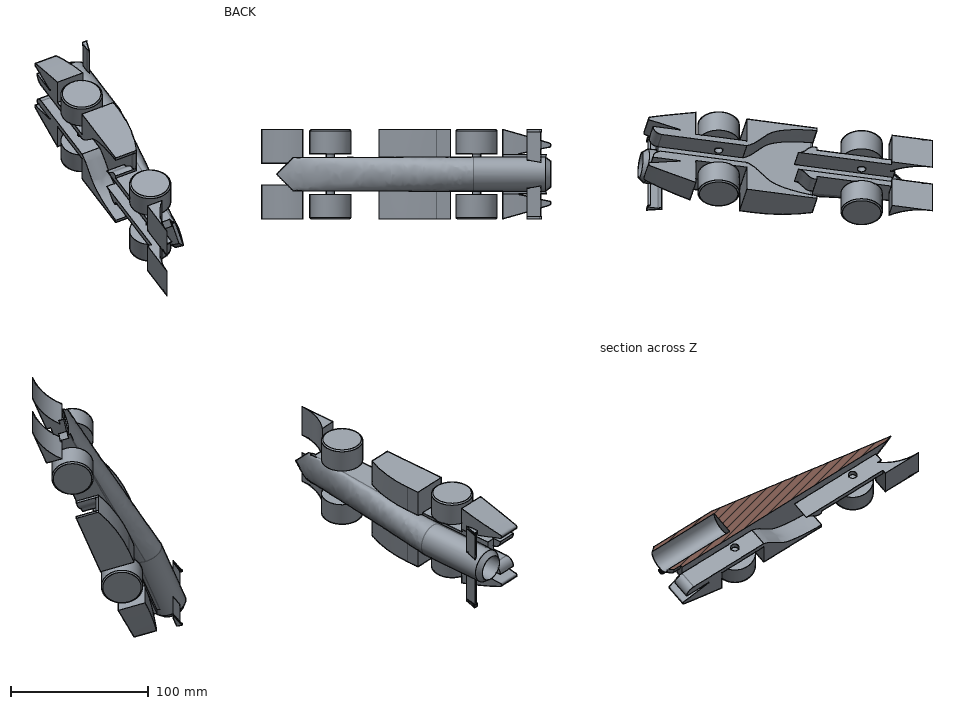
import cadquery as cq
import math

SIDES = (1, -1)

half_width = 32.5
car_length = 210.0

barrel_radius = 25.0 / 2
bore_radius = 19.0 / 2
barrel_top = 41.2
barrel_y = barrel_top - barrel_radius
barrel_length = 56.0
barrel_chamfer = 4.0

nose_tip_x = 199.0
nose_half_width = 12.2
nose_end_y = 14.7
nose_end_half_height = 1.78
nose_undercut = 3.5
nose_undercut_height = 1.7

channel_half_width = 7.8
channel_roof = 14.5
rail_half_width = 12.2
deck_top = 20.8
deck_start_x = 9.9
rail_end_x = 184.4
rail_end_bevel = 3.2
nose_deck_top = 17.0
nose_block_bottom = 7.8
nose_deck_x = 173.7

flank_top = 23.3


tail_half_width = 14.3
tail_round = 6.5
fin_end_x = 35.0
fin_tip = (0, 21.0)
fin_outer_slope = 0.29
fin_inner_slope = 0.2
fin_outer_bends = [(9.5, 25.2), (2.0, 22.9)]
fin_inner_bends = [(2.3, 19.3), (9.5, 17.8)]
slot_end_x = 23.3
slot_end_z = 14.7
fin_tip_height = 17.0
fin_mid = (12.5, 19.1)

pod_start_x = 72.9
pod_end_x = 125.0
pod_top = 25.8
pod_crown_x = 83.2
pod_front_height = 17.0
duct_wall_z = 30.2
duct_rail_z = 14.5
duct_split_x = 110.7
duct_lip = 1.9
duct_wall_bends = [(78.8, 11.3), (90.0, 22.0), (103.1, 27.3)]
splitter_bends = [(120.3, 14.0), (116.5, 10.7)]

wing_start_x = 180.0
wing_bottom = -3.2
wing_top = 8.8
wing_tip = 0.1
wing_mid = (192.2, 0.6)

plate_thickness = 1.9
rear_wing_bottom = 35.0
rear_wing_start = 6.7
rear_wing_end = 17.5
rear_wing_tail_y = 36.0
rear_wing_kink_x = 14.5
plate_peak = 39.3
plate_shoulder = (8.5, 38.5)
plate_round = 1.3
blade_inset = 0.6
blade_top = 37.8
blade_edge_mid = (7.5, 36.1)
blade_foot_x = 8.6

wheel_radius = 30.0 / 2
wheel_chamfer = 1.0
wheel_inner_z = 14.7
axle_radius = 6.0 / 2
wheel_bottom = -5.2
axle_y = wheel_bottom + wheel_radius
axle_xs = (54.0, 160.0)


def across(sketch, z_from, z_to):
    """Extrude an XY profile from z_from to z_to."""
    return sketch.extrude(z_to - z_from).translate((0, 0, z_from))


def upright(sketch, y_from, y_to):
    """Extrude a plan profile, drawn as (x, z), from y_from up to y_to."""
    return sketch.extrude(-(y_to - y_from)).translate((0, y_from, 0))


def plan():
    """Plan sketch plane with local axes X and Z; its normal is -Y."""
    return cq.Workplane("XZ")


def slab(x_from, x_to, y_from, y_to, z_half):
    """Box symmetric about Z = 0."""
    return cq.Workplane("XY").box(
        x_to - x_from, y_to - y_from, 2 * z_half, centered=(False, False, True)
    ).translate((x_from, y_from, 0))


def both_sides(shape):
    """The shape together with its mirror image across Z = 0."""
    return shape.union(shape.mirror("XY"))


def make_barrel():
    return (
        cq.Workplane("XY")
        .polyline([
            (0, barrel_y),
            (0, barrel_y + bore_radius),
            (barrel_chamfer, barrel_top),
            (barrel_length, barrel_top),
            (barrel_length, barrel_y),
        ])
        .close()
        .revolve(360, (0, barrel_y, 0), (1, barrel_y, 0))
    )


def make_bore():
    return cq.Workplane("YZ").center(barrel_y, 0).circle(bore_radius).extrude(barrel_length)


def v_plan(tip_x):
    """Plan polygon with a square V-shaped front ending at tip_x."""
    back_x = tip_x - half_width
    return [(0, half_width), (back_x, half_width), (tip_x, 0), (back_x, -half_width), (0, -half_width)]


def make_nose_envelope():
    """V-fronted prism whose front faces are undercut along the bottom."""
    undercut = (
        cq.Workplane("XZ", origin=(0, channel_roof, 0))
        .polyline(v_plan(nose_tip_x - nose_undercut))
        .close()
        .workplane(offset=-nose_undercut_height)
        .polyline(v_plan(nose_tip_x))
        .close()
        .loft(ruled=True)
    )
    front = plan().polyline(v_plan(nose_tip_x)).close()
    prism = upright(front, channel_roof + nose_undercut_height, barrel_top)
    return undercut.union(prism)


def make_nose():
    end_drop = nose_end_y - barrel_y
    cone = (
        cq.Workplane("YZ", origin=(barrel_length, barrel_y, 0))
        .ellipse(barrel_radius, barrel_radius, rotation_angle=-90)
        .workplane(offset=nose_tip_x - barrel_length)
        .center(end_drop, 0)
        .ellipse(nose_half_width, nose_end_half_height, rotation_angle=-90)
        .loft(ruled=True)
    )
    slope = (nose_end_y - barrel_y) / (nose_tip_x - barrel_length)
    widest_at_pod = barrel_y + slope * (pod_crown_x - barrel_length)
    shoulder = across(
        cq.Workplane("XY").polyline([
            (pod_start_x, channel_roof),
            (pod_start_x, pod_top),
            (pod_crown_x, widest_at_pod),
            (nose_deck_x, nose_deck_top),
            (rail_end_x, nose_deck_top),
            (rail_end_x, channel_roof),
        ]).close(),
        -rail_half_width,
        rail_half_width,
    )
    return cone.union(shoulder).intersect(make_nose_envelope())


def make_flank():
    """Strip tangent to the barrel at flank_top, running down to the deck."""
    drop = barrel_y - flank_top
    top_z = math.sqrt(barrel_radius**2 - drop**2)
    foot_z = top_z - (flank_top - deck_top) * drop / top_z
    return (
        cq.Workplane("YZ", origin=(deck_start_x, 0, 0))
        .polyline([(flank_top, top_z), (deck_top, foot_z), (deck_top, -foot_z), (flank_top, -top_z)])
        .close()
        .extrude(pod_start_x - deck_start_x)
    )


def make_chassis():
    """Rails and roof slab as one bar, before the channel is cut."""
    rear_bar = slab(deck_start_x, pod_start_x, 0, deck_top, rail_half_width)
    front_bar = slab(pod_start_x, wing_start_x, 0, channel_roof, rail_half_width)
    nose_block = plan().polyline([
        (pod_start_x, rail_half_width),
        (rail_end_x - rail_end_bevel, rail_half_width),
        (rail_end_x, channel_half_width),
        (rail_end_x, -channel_half_width),
        (rail_end_x - rail_end_bevel, -rail_half_width),
        (pod_start_x, -rail_half_width),
    ]).close()
    return rear_bar.union(front_bar).union(upright(nose_block, nose_block_bottom, channel_roof))


def make_tail_rail():
    """Widened rail on the +Z side, its inner tail corner rounded, under a wider deck."""
    end_x = deck_start_x - tail_round
    sweep = tail_round * math.sqrt(0.5)
    outline = (
        plan()
        .moveTo(deck_start_x, 0)
        .lineTo(deck_start_x, channel_half_width)
        .threePointArc(
            (deck_start_x - sweep, channel_half_width + tail_round - sweep),
            (end_x, channel_half_width + tail_round),
        )
        .lineTo(fin_end_x, tail_half_width)
        .lineTo(fin_end_x, 0)
        .close()
    )
    rail = upright(outline, 0, channel_roof)
    return rail.union(slab(deck_start_x, fin_end_x, 0, deck_top, tail_half_width))


def make_fin():
    """Tapered fin on the +Z side, split from the rail by a narrow slot."""
    outline = (
        plan()
        .moveTo(fin_end_x, half_width)
        .spline(
            [*fin_outer_bends, fin_tip],
            tangents=[(-1, -fin_outer_slope), (0, -1)],
            includeCurrent=True,
        )
        .spline(
            [*fin_inner_bends, (slot_end_x, slot_end_z)],
            tangents=[(0, -1), (1, -fin_inner_slope)],
            includeCurrent=True,
        )
        .lineTo(slot_end_x, rail_half_width)
        .lineTo(fin_end_x, rail_half_width)
        .close()
    )
    side = (
        cq.Workplane("XY")
        .lineTo(0, fin_tip_height)
        .threePointArc(fin_mid, (fin_end_x, deck_top))
        .lineTo(fin_end_x, 0)
        .close()
    )
    return upright(outline, 0, deck_top).intersect(across(side, 0, half_width))


def make_pods():
    """Both side pods as one block, its top falling away towards the front."""
    length = pod_end_x - pod_crown_x
    fall = pod_top - pod_front_height
    radius = (length**2 + fall**2) / (2 * fall)
    mid_x = length / 2
    mid_y = pod_top - radius + math.sqrt(radius**2 - mid_x**2)
    side = (
        cq.Workplane("XY")
        .moveTo(pod_start_x, 0)
        .lineTo(pod_start_x, pod_top)
        .lineTo(pod_crown_x, pod_top)
        .threePointArc((pod_crown_x + mid_x, mid_y), (pod_end_x, pod_front_height))
        .lineTo(pod_end_x, 0)
        .close()
    )
    return across(side, -half_width, half_width)


def make_duct():
    """Air duct on the +Z side: S-shaped outer wall, rail splitter inside, rounded roof lip."""
    outline = (
        plan()
        .moveTo(pod_start_x, 0)
        .lineTo(pod_start_x, channel_half_width)
        .spline([*duct_wall_bends, (pod_end_x, duct_wall_z)], includeCurrent=True)
        .lineTo(pod_end_x, duct_rail_z)
        .spline([*splitter_bends, (duct_split_x, channel_half_width)], includeCurrent=True)
        .lineTo(duct_split_x, 0)
        .close()
    )
    sweep = duct_lip * math.sqrt(0.5)
    lip = (
        cq.Workplane("XY")
        .moveTo(pod_end_x - duct_lip, channel_roof)
        .threePointArc(
            (pod_end_x - duct_lip + sweep, channel_roof + duct_lip - sweep),
            (pod_end_x, channel_roof + duct_lip),
        )
        .lineTo(pod_end_x, channel_roof)
        .close()
    )
    return upright(outline, 0, channel_roof).union(across(lip, duct_rail_z, duct_wall_z))


def make_front_wing():
    side = (
        cq.Workplane("XY")
        .moveTo(wing_start_x, wing_bottom)
        .lineTo(wing_start_x, wing_top)
        .threePointArc(wing_mid, (car_length, wing_bottom + wing_tip))
        .lineTo(car_length, wing_bottom)
        .close()
    )
    return across(side, channel_half_width, half_width)


def make_rear_wing():
    """Blade across the barrel between two end plates."""
    blade_start = rear_wing_start + blade_inset
    blade = across(
        cq.Workplane("XY")
        .moveTo(blade_start, blade_top)
        .lineTo(rear_wing_end, rear_wing_tail_y)
        .lineTo(rear_wing_kink_x, rear_wing_bottom)
        .lineTo(blade_foot_x, rear_wing_bottom)
        .threePointArc(blade_edge_mid, (blade_start, blade_top))
        .close(),
        -half_width,
        half_width,
    )
    plate = across(
        cq.Workplane("XY")
        .moveTo(rear_wing_start, plate_peak)
        .lineTo(*plate_shoulder)
        .lineTo(rear_wing_end, rear_wing_tail_y)
        .lineTo(rear_wing_kink_x, rear_wing_bottom)
        .lineTo(rear_wing_start + plate_round, rear_wing_bottom)
        .radiusArc((rear_wing_start, rear_wing_bottom + plate_round), plate_round)
        .close(),
        half_width - plate_thickness,
        half_width,
    )
    return blade.union(both_sides(plate))


def make_axle_hole(x):
    return cq.Workplane("XY").center(x, axle_y).circle(axle_radius).extrude(rail_half_width, both=True)


def make_car():
    body = make_chassis().union(make_pods()).union(both_sides(make_tail_rail().union(make_fin())))
    channel = slab(0, car_length, wing_bottom, channel_roof, channel_half_width)
    body = body.cut(channel).cut(both_sides(make_duct()))
    body = body.union(make_nose()).union(make_flank()).union(both_sides(make_front_wing()))
    body = body.union(make_barrel()).union(make_rear_wing()).cut(make_bore())
    for x in axle_xs:
        body = body.cut(make_axle_hole(x))
    return body


def make_wheel(x, side):
    """Wheel with an axle stub that meets the outer face of its rail."""
    stub = across(cq.Workplane("XY").circle(axle_radius), rail_half_width, wheel_inner_z)
    rim = across(cq.Workplane("XY").circle(wheel_radius), wheel_inner_z, half_width)
    wheel = rim.faces(">Z").chamfer(wheel_chamfer).union(stub)
    if side < 0:
        wheel = wheel.mirror("XY")
    return wheel.translate((x, axle_y, 0))


car = make_car()
wheels = [make_wheel(x, side).val() for x in axle_xs for side in SIDES]

result = cq.Compound.makeCompound([*car.vals(), *wheels])